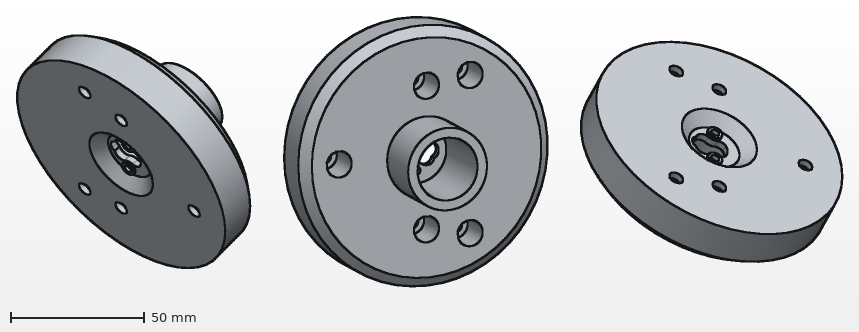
import cadquery as cq
import math

DISC_RADIUS = 50.0
DISC_THICKNESS = 18.8
BEVEL_DEPTH = 3.8
BEVEL_INSET = 4.0

STEM_RADIUS = 15.8
TOTAL_DEPTH = 41.0

RECESS_MOUTH_RADIUS = 15.25
RECESS_FLOOR_RADIUS = 10.25
RECESS_DEPTH = 5.0

WEB_THICKNESS = 3.0
BORE_RADIUS = 12.0
BORE_START = RECESS_DEPTH + WEB_THICKNESS

BOSS_DIAMETER = 5.8
BOSS_HEIGHT = 1.0
BOSS_OFFSET = 7.2
SCREW_HOLE_DIAMETER = 3.2
SCREW_PLACES = [(0, BOSS_OFFSET), (0, -BOSS_OFFSET)]

MOUNT_HOLE_DIAMETER = 5.5
COUNTERBORE_DIAMETER = 10.0
COUNTERBORE_START = 3.0
OUTER_HOLE_CIRCLE_RADIUS = 35.0
OUTER_HOLE_ANGLES = (0.0, 120.0, 240.0)
INNER_HOLE_OFFSET = 27.5

TIP_END_X = -8.95
TIP_JOINT = (-8.2, 2.1)
LOBE_START = (-7.15, 3.0)
LOBE_TOP = (-4.2, 5.4)
LOBE_END = (-2.4, 4.9)
WAIST_HEIGHT = 3.9
NOSE_START = (1.6, 4.1)
NOSE_SHOULDER = (3.5, 3.85)
NOSE_CORNER = (4.7, 2.8)
NOSE_END_X = 5.45


def mirrored(point):
    """Reflect a point of the XZ section across the X axis."""
    return (point[0], -point[1])


def prisms(places, diameter, start_y, end_y):
    """Round prisms along Y at the given (x, z) places."""
    section = cq.Workplane("XZ", origin=(0, start_y, 0)).pushPoints(places).circle(diameter / 2)
    return section.extrude(start_y - end_y)


def make_body():
    """Disc and stem with the conical recess and the rear bore, revolved about the Y axis."""
    profile = [
        (0, RECESS_DEPTH),
        (RECESS_FLOOR_RADIUS, RECESS_DEPTH),
        (RECESS_MOUTH_RADIUS, 0),
        (DISC_RADIUS, 0),
        (DISC_RADIUS, DISC_THICKNESS - BEVEL_DEPTH),
        (DISC_RADIUS - BEVEL_INSET, DISC_THICKNESS),
        (STEM_RADIUS, DISC_THICKNESS),
        (STEM_RADIUS, TOTAL_DEPTH),
        (BORE_RADIUS, TOTAL_DEPTH),
        (BORE_RADIUS, BORE_START),
        (0, BORE_START),
    ]
    return cq.Workplane("XY").polyline(profile).close().revolve(360, (0, 0, 0), (0, 1, 0))


def make_lock_opening():
    """Lobed prism through the web."""
    outline = (
        cq.Workplane("XZ")
        .moveTo(*mirrored(TIP_JOINT))
        .threePointArc((TIP_END_X, 0), TIP_JOINT)
        .lineTo(*LOBE_START)
        .threePointArc(LOBE_TOP, LOBE_END)
        .threePointArc((0, WAIST_HEIGHT), NOSE_START)
        .threePointArc(NOSE_SHOULDER, NOSE_CORNER)
        .threePointArc((NOSE_END_X, 0), mirrored(NOSE_CORNER))
        .threePointArc(mirrored(NOSE_SHOULDER), mirrored(NOSE_START))
        .threePointArc((0, -WAIST_HEIGHT), mirrored(LOBE_END))
        .threePointArc(mirrored(LOBE_TOP), mirrored(LOBE_START))
        .close()
    )
    return outline.extrude(-BORE_START)


def make_screw_bosses():
    """Round pads above and below the lock opening."""
    return prisms(SCREW_PLACES, BOSS_DIAMETER, RECESS_DEPTH - BOSS_HEIGHT, RECESS_DEPTH)


def make_screw_holes():
    """Holes through both bosses and the web."""
    return prisms(SCREW_PLACES, SCREW_HOLE_DIAMETER, 0, BORE_START)


def make_mount_holes():
    """Holes counterbored from the back: three on the outer circle, two in line with the centre."""
    places = [(0, INNER_HOLE_OFFSET), (0, -INNER_HOLE_OFFSET)]
    for angle in OUTER_HOLE_ANGLES:
        x = OUTER_HOLE_CIRCLE_RADIUS * math.cos(math.radians(angle))
        z = OUTER_HOLE_CIRCLE_RADIUS * math.sin(math.radians(angle))
        places.append((x, z))
    holes = prisms(places, MOUNT_HOLE_DIAMETER, 0, DISC_THICKNESS)
    counterbores = prisms(places, COUNTERBORE_DIAMETER, COUNTERBORE_START, DISC_THICKNESS)
    return holes.union(counterbores)


result = (
    make_body()
    .cut(make_lock_opening())
    .union(make_screw_bosses())
    .cut(make_screw_holes())
    .cut(make_mount_holes())
)